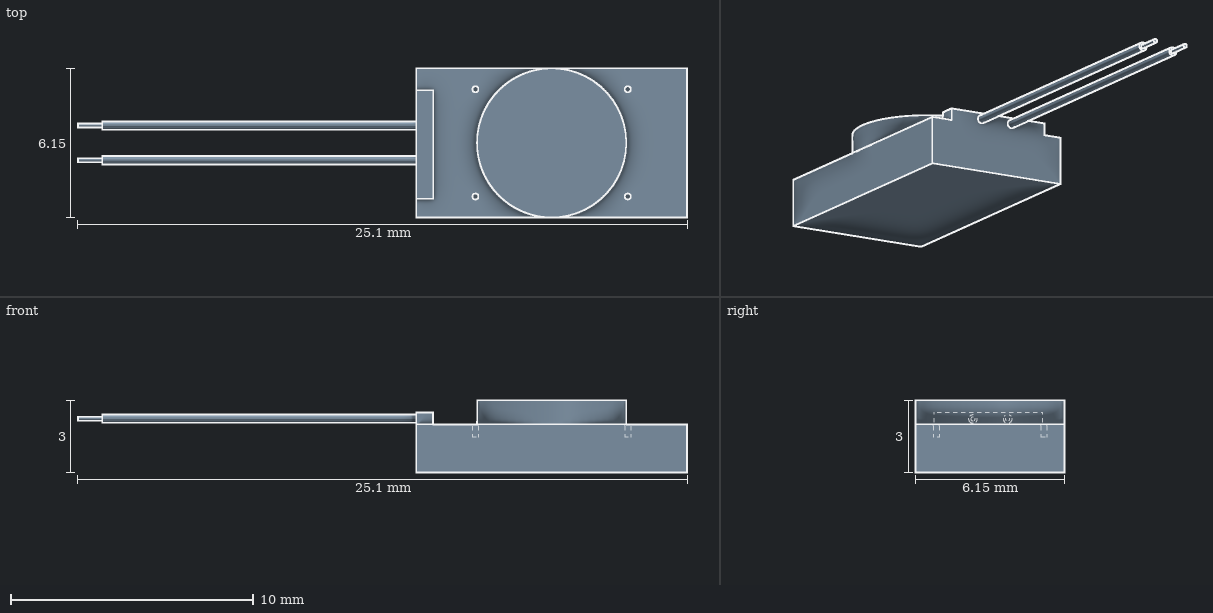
import cadquery as cq

TOTAL_LENGTH = 25.15
TOTAL_HEIGHT = 3.0

BASE_LENGTH = 11.2
BASE_WIDTH = 6.15
DISC_HEIGHT = 1.0
BASE_HEIGHT = TOTAL_HEIGHT - DISC_HEIGHT

DISC_DIAMETER = BASE_WIDTH

BLOCK_LENGTH = 0.7
BLOCK_WIDTH = 4.48
BLOCK_HEIGHT = 0.5
BLOCK_OFFSET_Y = -0.08

HOLE_DIAMETER = 0.25
HOLE_DEPTH = 0.5
HOLE_SPACING_X = 6.3
HOLE_SPACING_Y = 4.43

WIRE_SPACING = 1.43
WIRE_RISE = 0.24
SLEEVE_DIAMETER = 0.35
CORE_DIAMETER = 0.169
STRIPPED_LENGTH = 1.0
WIRE_LENGTH = TOTAL_LENGTH - BASE_LENGTH
SLEEVE_LENGTH = WIRE_LENGTH - STRIPPED_LENGTH

WIRE_END_X = -BASE_LENGTH / 2


def make_base():
    """Base plate with its four small blind holes."""
    return (
        cq.Workplane("XY")
        .box(BASE_LENGTH, BASE_WIDTH, BASE_HEIGHT, centered=(True, True, False))
        .faces(">Z")
        .workplane()
        .rect(HOLE_SPACING_X, HOLE_SPACING_Y, forConstruction=True)
        .vertices()
        .hole(HOLE_DIAMETER, HOLE_DEPTH)
    )


def make_disc():
    """Disc standing on the middle of the base."""
    return cq.Workplane("XY", origin=(0, 0, BASE_HEIGHT)).circle(DISC_DIAMETER / 2).extrude(DISC_HEIGHT)


def make_terminal_block():
    """Low block flush with the wire end of the base."""
    return (
        cq.Workplane("XY", origin=(WIRE_END_X, BLOCK_OFFSET_Y, BASE_HEIGHT))
        .box(BLOCK_LENGTH, BLOCK_WIDTH, BLOCK_HEIGHT, centered=(False, True, False))
    )


def make_wire(y):
    """Wire running toward -X from the terminal block: sleeve, then bare core."""
    start = cq.Workplane("YZ", origin=(WIRE_END_X, y, BASE_HEIGHT + WIRE_RISE))
    sleeve = start.circle(SLEEVE_DIAMETER / 2).extrude(-SLEEVE_LENGTH)
    core = start.circle(CORE_DIAMETER / 2).extrude(-WIRE_LENGTH)
    return sleeve.union(core)


result = make_base().union(make_disc()).union(make_terminal_block())
for wire_y in (-WIRE_SPACING / 2, WIRE_SPACING / 2):
    result = result.union(make_wire(wire_y))